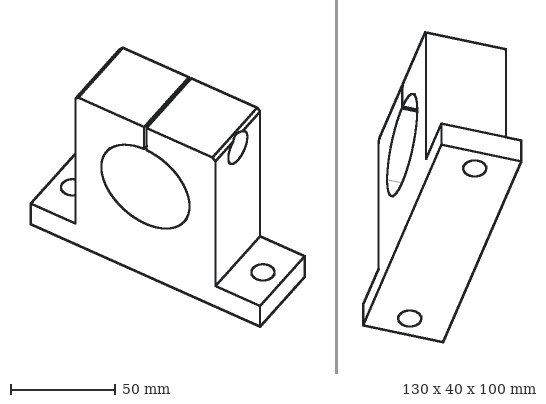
import cadquery as cq

base_length = 130.0
depth = 40.0
base_height = 14.0
block_width = 79.4
total_height = 100.0
edge_chamfer = 1.7

bore_diameter = 50.0
bore_height = 60.0
slit_width = 1.3

mount_diameter = 11.0
mount_spacing = 107.9

recess_diameter = 17.0
recess_depth = 13.0
screw_height = 90.7


def make_body():
    base = cq.Workplane("XY").box(base_length, depth, base_height, centered=(True, True, False))
    block = (
        cq.Workplane("XY")
        .box(block_width, depth, total_height, centered=(True, True, False))
        .faces(">Z")
        .edges("|Y")
        .chamfer(edge_chamfer)
    )
    return base.union(block)


def cut_shaft_seat(body):
    bore = (
        cq.Workplane("XZ")
        .center(0, bore_height)
        .circle(bore_diameter / 2)
        .extrude(depth / 2, both=True)
    )
    slit_height = total_height - bore_height
    slit = (
        cq.Workplane("XY", origin=(0, 0, bore_height))
        .box(slit_width, depth, slit_height, centered=(True, True, False))
    )
    return body.cut(bore).cut(slit)


def cut_mounting_holes(body):
    holes = (
        cq.Workplane("XY")
        .rarray(mount_spacing, 1.3, 2, 1)
        .circle(mount_diameter / 2)
        .extrude(base_height)
    )
    return body.cut(holes)


def cut_screw_recess(body):
    floor = cq.Workplane("YZ", origin=(block_width / 2 - recess_depth, 0, screw_height))
    recess = floor.circle(recess_diameter / 2).extrude(recess_depth)
    return body.cut(recess)


result = cut_screw_recess(cut_mounting_holes(cut_shaft_seat(make_body())))